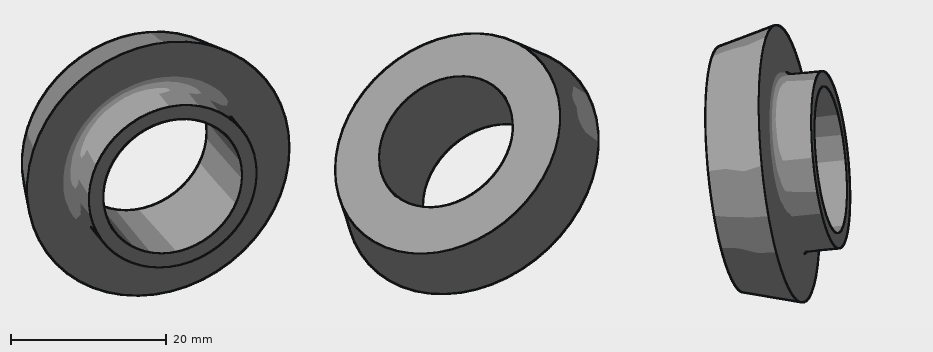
import cadquery as cq

length = 13.5
flange_diameter = 36.0
flange_length = 8.03
nose_diameter = 32.0
nose_depth = 0.5
nose_flat_diameter = 21.0
bore_diameter = 19.0
hub_diameter = 23.0
fillet_radius = 1.5

flange_radius = flange_diameter / 2
nose_radius = nose_diameter / 2
nose_flat_radius = nose_flat_diameter / 2
bore_radius = bore_diameter / 2
hub_radius = hub_diameter / 2

half_section = (
    cq.Workplane("XY")
    .moveTo(0, bore_radius)
    .lineTo(0, nose_flat_radius)
    .lineTo(nose_depth, nose_radius)
    .lineTo(flange_length, flange_radius)
    .lineTo(flange_length, hub_radius + fillet_radius)
    .radiusArc((flange_length + fillet_radius, hub_radius), -fillet_radius)
    .lineTo(length, hub_radius)
    .lineTo(length, bore_radius)
    .close()
)

result = half_section.revolve(360, (0, 0, 0), (1, 0, 0))